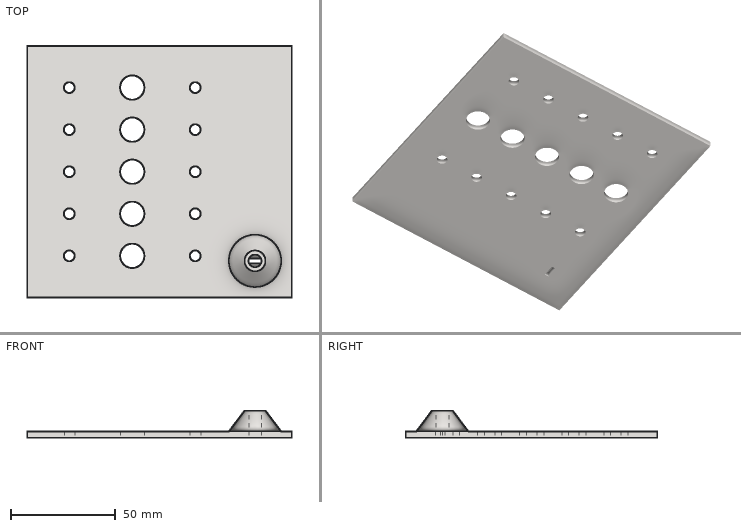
import cadquery as cq

plate_length = 126.0
plate_width = 120.0
plate_thickness = 3.0

small_hole_diameter = 5.0
large_hole_diameter = 11.5
hole_pitch = 20.0
holes_per_column = 5
left_column_x = 20.0
large_column_x = 50.0
right_column_x = 2 * large_column_x - left_column_x

boss_x = 108.5
boss_y = 17.5
overall_height = 13.0
boss_height = overall_height - plate_thickness
boss_base_diameter = 25.0
boss_top_diameter = 10.0
bore_diameter = 6.0

slot_length = bore_diameter
slot_width = 2.1


def hole_column(x, diameter):
    """Cutters for one column of holes, centred across the plate width."""
    first_y = (plate_width - (holes_per_column - 1) * hole_pitch) / 2
    centres = [(x, first_y + row * hole_pitch) for row in range(holes_per_column)]
    return cq.Workplane("XY").pushPoints(centres).circle(diameter / 2).extrude(plate_thickness)


def bore_slot():
    """Cutter for the rectangular slot below the boss bore."""
    return cq.Workplane("XY").center(boss_x, boss_y).rect(slot_length, slot_width).extrude(plate_thickness)


def make_plate():
    """Flat plate with the hole grid and the slot."""
    plate = cq.Workplane("XY").box(plate_length, plate_width, plate_thickness, centered=False)
    plate = plate.cut(hole_column(left_column_x, small_hole_diameter))
    plate = plate.cut(hole_column(large_column_x, large_hole_diameter))
    plate = plate.cut(hole_column(right_column_x, small_hole_diameter))
    return plate.cut(bore_slot())


def make_boss():
    """Truncated cone with a straight bore, revolved about its own vertical axis."""
    bore_radius = bore_diameter / 2
    profile = [
        (bore_radius, 0),
        (boss_base_diameter / 2, 0),
        (boss_top_diameter / 2, boss_height),
        (bore_radius, boss_height),
    ]
    boss = cq.Workplane("XZ").polyline(profile).close().revolve(360, (0, 0, 0), (0, 1, 0))
    return boss.translate((boss_x, boss_y, plate_thickness))


plate = make_plate()
boss = make_boss()

result = cq.Compound.makeCompound([plate.val(), boss.val()])